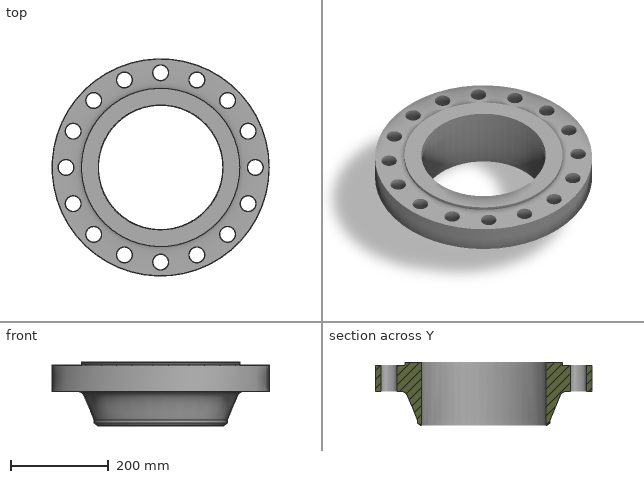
import math

import cadquery as cq


FLANGE_DIAMETER = 444.5
FLANGE_THICKNESS = 53.98
RAISED_FACE_DIAMETER = 323.85
RAISED_FACE_HEIGHT = 6.35

TOTAL_HEIGHT = 130.18
HUB_BASE_DIAMETER = 320.7
HUB_FILLET_RADIUS = 12.7
WELD_END_DIAMETER = 273.05
WELD_END_LENGTH = 12.0
BORE_DIAMETER = 254.5
BEVEL_ANGLE = 37.5
WELD_LAND = 1.6

BOLT_HOLE_COUNT = 16
BOLT_HOLE_DIAMETER = 31.75
BOLT_CIRCLE_DIAMETER = 387.35

flange_radius = FLANGE_DIAMETER / 2
raised_face_radius = RAISED_FACE_DIAMETER / 2
hub_base_radius = HUB_BASE_DIAMETER / 2
weld_end_radius = WELD_END_DIAMETER / 2
bore_radius = BORE_DIAMETER / 2
weld_land_radius = bore_radius + WELD_LAND

bevel_height = (weld_end_radius - weld_land_radius) * math.tan(math.radians(BEVEL_ANGLE))
flange_top = TOTAL_HEIGHT - RAISED_FACE_HEIGHT
flange_bottom = flange_top - FLANGE_THICKNESS

hub_taper_height = flange_bottom - WELD_END_LENGTH
taper_angle = math.atan2(hub_base_radius - weld_end_radius, hub_taper_height)
fillet_turn = math.pi / 2 - taper_angle
fillet_tangent_length = HUB_FILLET_RADIUS * math.tan(fillet_turn / 2)
fillet_center = (hub_base_radius + fillet_tangent_length, flange_bottom - HUB_FILLET_RADIUS)


def fillet_point(angle):
    """Point on the hub fillet, turned by angle from its flange end toward the hub."""
    radius = fillet_center[0] - HUB_FILLET_RADIUS * math.sin(angle)
    height = fillet_center[1] + HUB_FILLET_RADIUS * math.cos(angle)
    return (radius, height)


def make_body():
    """Flange, raised face, hub and bore revolved from one half section."""
    return (
        cq.Workplane("XZ")
        .moveTo(bore_radius, 0)
        .lineTo(weld_land_radius, 0)
        .lineTo(weld_end_radius, bevel_height)
        .lineTo(weld_end_radius, WELD_END_LENGTH)
        .lineTo(*fillet_point(fillet_turn))
        .threePointArc(fillet_point(fillet_turn / 2), fillet_point(0))
        .lineTo(flange_radius, flange_bottom)
        .lineTo(flange_radius, flange_top)
        .lineTo(raised_face_radius, flange_top)
        .lineTo(raised_face_radius, TOTAL_HEIGHT)
        .lineTo(bore_radius, TOTAL_HEIGHT)
        .close()
        .revolve(360, (0, 0), (0, 1))
    )


def make_bolt_holes():
    """Cutters for the ring of through holes in the flange."""
    return (
        cq.Workplane("XY")
        .workplane(offset=flange_bottom - HUB_FILLET_RADIUS)
        .polarArray(BOLT_CIRCLE_DIAMETER / 2, 0, 360, BOLT_HOLE_COUNT)
        .circle(BOLT_HOLE_DIAMETER / 2)
        .extrude(HUB_FILLET_RADIUS + FLANGE_THICKNESS + RAISED_FACE_HEIGHT)
    )


result = make_body().cut(make_bolt_holes())